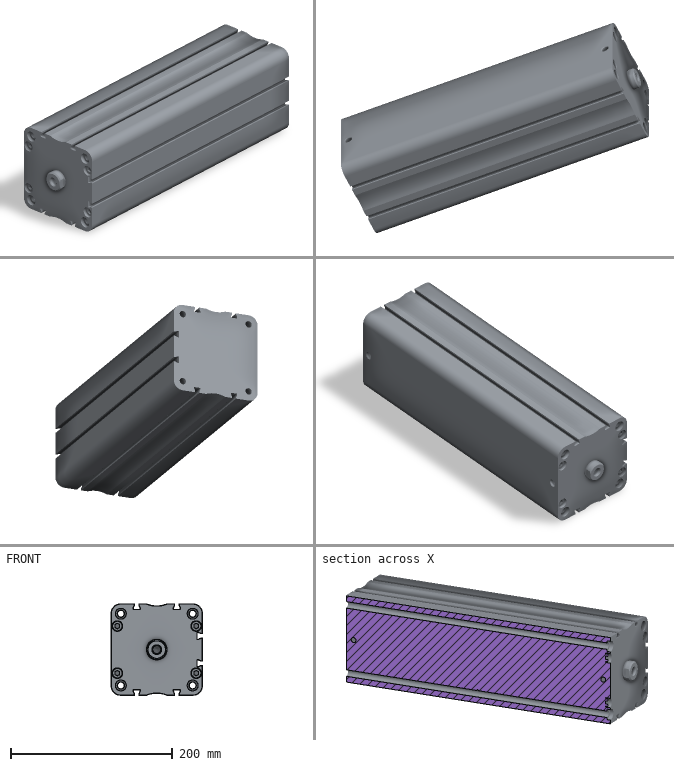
import cadquery as cq
import math

side = 113.3
half_side = side / 2
total_length = 377.0
rod_length = 9.2
body_length = total_length - rod_length
corner_radius = 12.0

scallop_width = 26.0
scallop_depth = 2.5

slot_neck_width = 5.6
slot_floor_width = 8.4
slot_neck_depth = 2.0
slot_flare_depth = 5.0
slot_depth = 6.7
top_slot_offset = 24.9
side_slot_offset = 17.0

mount_offset = 44.5
mount_diameter = 8.38
mount_counterbore_diameter = 13.5
mount_counterbore_depth = 5.0

screw_offset_x = 48.9
screw_offset_z = 29.2
screw_recess_diameter = 13.1
screw_head_diameter = 12.0
screw_recess_depth = 7.0
screw_head_sink = 3.5
socket_across_flats = 6.0
socket_depth = 3.0
socket_turn = 30

rod_diameter = 25.0
rod_chamfer = 1.6
rod_gap_diameter = 25.5
rod_gap_depth = 2.0
flat_width = 22.0
flat_clearance = 1.8
tap_diameter = 10.11
tap_mouth_diameter = 12.0
tap_depth = 24.0
drill_point_half_angle = math.radians(59)

port_diameter = 8.57
port_mouth_diameter = 9.98
port_depth = 9.0
port_pilot_diameter = 6.0
port_pilot_depth = 12.0
port_inset = 10.2


def cylinder_along_y(diameter, start_y, length, x=0, z=0):
    axis = cq.Vector(0, 1, 0)
    return cq.Workplane(cq.Solid.makeCylinder(diameter / 2, length, cq.Vector(x, start_y, z), axis))


def scallop(sign):
    """Circular-segment groove centred on the top (sign 1) or bottom (sign -1) face."""
    radius = (scallop_width ** 2 / 4 + scallop_depth ** 2) / (2 * scallop_depth)
    centre_z = half_side - scallop_depth + radius
    return cylinder_along_y(2 * radius, 0, body_length, z=sign * centre_z)


def slot(offset, turn):
    """Sensor slot cut into the top face at x = offset, then turned about the Y axis."""
    neck = slot_neck_width / 2
    floor = slot_floor_width / 2
    right_edge = [
        (neck, 0),
        (neck, slot_neck_depth),
        (floor, slot_flare_depth),
        (floor, slot_depth),
    ]
    left_edge = [(-across, depth) for across, depth in reversed(right_edge)]
    points = [(offset + across, half_side - depth) for across, depth in right_edge + left_edge]
    cutter = cq.Workplane("XZ").polyline(points).close().extrude(-body_length)
    return cutter.rotate((0, 0, 0), (0, 1, 0), turn)


def make_body():
    body = cq.Workplane("XZ").rect(side, side).extrude(-body_length)
    body = body.edges("|Y").fillet(corner_radius)
    for sign in (1, -1):
        body = body.cut(scallop(sign))
        body = body.cut(slot(sign * top_slot_offset, 0))
        body = body.cut(slot(sign * top_slot_offset, 180))
        body = body.cut(slot(sign * side_slot_offset, 90))
    return body


def mounting_hole(x, z):
    hole = cylinder_along_y(mount_diameter, 0, body_length, x, z)
    return hole.union(cylinder_along_y(mount_counterbore_diameter, 0, mount_counterbore_depth, x, z))


def screw_recess(x, z):
    """Round recess minus the screw head standing in it, plus the hexagon socket in the head."""
    recess = cylinder_along_y(screw_recess_diameter, 0, screw_recess_depth, x, z)
    head_height = screw_recess_depth - screw_head_sink
    head = cylinder_along_y(screw_head_diameter, screw_head_sink, head_height, x, z)
    socket_across_corners = socket_across_flats / math.cos(math.pi / 6)
    socket = (
        cq.Workplane("XZ", origin=(x, screw_head_sink, z))
        .transformed(rotate=(0, 0, socket_turn))
        .polygon(6, socket_across_corners)
        .extrude(-socket_depth)
    )
    return recess.cut(head).union(socket)


def air_port(y):
    """Port bored in from the -X face: chamfered mouth, main bore and a narrower pilot."""
    mouth = port_mouth_diameter / 2
    bore = port_diameter / 2
    pilot = port_pilot_diameter / 2
    profile = [
        (0, 0),
        (mouth, 0),
        (bore, mouth - bore),
        (bore, port_depth),
        (pilot, port_depth),
        (pilot, port_pilot_depth),
        (0, port_pilot_depth),
    ]
    port = cq.Workplane("XY").polyline(profile).close().revolve(360, (0, 0), (0, 1))
    return port.rotate((0, 0, 0), (0, 0, 1), -90).translate((-half_side, y, 0))


def tapped_hole():
    """Hole in the rod end with a chamfered mouth and a conical drill point."""
    mouth = tap_mouth_diameter / 2
    bore = tap_diameter / 2
    point_depth = tap_depth + bore / math.tan(drill_point_half_angle)
    profile = [(0, 0), (mouth, 0), (bore, mouth - bore), (bore, tap_depth), (0, point_depth)]
    hole = cq.Workplane("XY").polyline(profile).close().revolve(360, (0, 0), (0, 1))
    return hole.translate((0, -rod_length, 0))


def wrench_flat(sign):
    """Cutter for one flat; its inner end slopes outward at 45 degrees."""
    inner = flat_width / 2
    outer = rod_diameter
    end_y = -flat_clearance
    profile = [
        (sign * inner, -rod_length),
        (sign * outer, -rod_length),
        (sign * outer, end_y + outer - inner),
        (sign * inner, end_y),
    ]
    return cq.Workplane("XY").polyline(profile).close().extrude(rod_diameter / 2, both=True)


def make_rod():
    rod = cylinder_along_y(rod_diameter, -rod_length, rod_length + rod_gap_depth)
    rod = rod.faces("<Y").chamfer(rod_chamfer)
    for sign in (1, -1):
        rod = rod.cut(wrench_flat(sign))
    return rod


result = make_body()
for side_x in (1, -1):
    for side_z in (1, -1):
        result = result.cut(mounting_hole(side_x * mount_offset, side_z * mount_offset))
        result = result.cut(screw_recess(side_x * screw_offset_x, side_z * screw_offset_z))
for port_y in (port_inset, body_length - port_inset):
    result = result.cut(air_port(port_y))
result = result.cut(cylinder_along_y(rod_gap_diameter, 0, rod_gap_depth))
result = result.union(make_rod()).cut(tapped_hole())